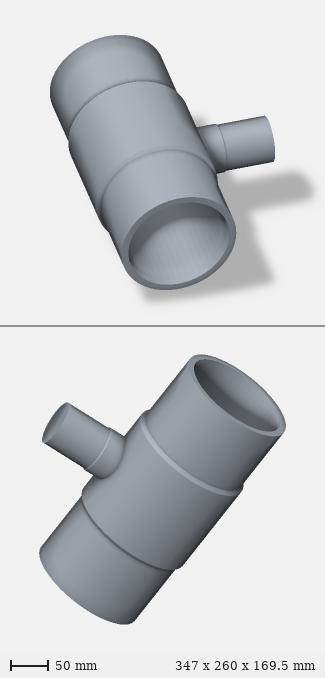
import cadquery as cq

pipe_length = 347.0
pipe_diameter = 160.0
bore_diameter = 141.2

sleeve_length = 147.5
sleeve_diameter = 169.5
sleeve_chamfer_length = 5.5

branch_diameter = 63.0
branch_end = 175.2
collar_diameter = 66.3
collar_end = 108.3

sleeve_step = (sleeve_diameter - pipe_diameter) / 2
collar_step = (collar_diameter - branch_diameter) / 2


def pipe_cylinder(diameter, length):
    """Cylinder along X, centred on the origin."""
    return cq.Workplane("YZ").circle(diameter / 2).extrude(length / 2, both=True)


def branch_cylinder(diameter, end):
    """Cylinder from the pipe axis to the given Y."""
    return cq.Workplane("XZ").circle(diameter / 2).extrude(-end)


sleeve = (
    pipe_cylinder(sleeve_diameter, sleeve_length)
    .faces("<X or >X")
    .chamfer(sleeve_chamfer_length, sleeve_step)
)

collar = branch_cylinder(collar_diameter, collar_end).faces(">Y").chamfer(collar_step)
branch = branch_cylinder(branch_diameter, branch_end).union(collar)

result = (
    pipe_cylinder(pipe_diameter, pipe_length)
    .union(sleeve)
    .union(branch)
    .cut(pipe_cylinder(bore_diameter, pipe_length))
)